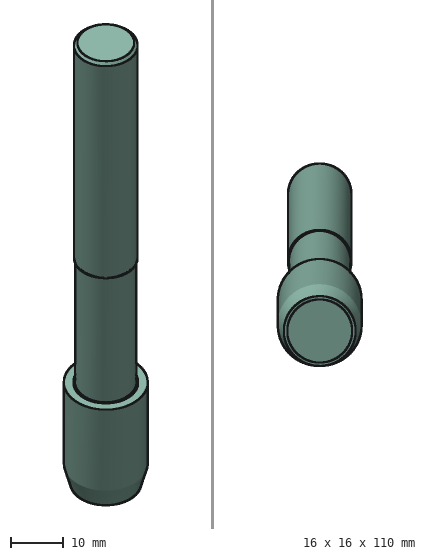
import cadquery as cq

total_length = 110.0

sleeve_diameter = 16.0
sleeve_length = 25.0
sleeve_tip_diameter = 13.6
sleeve_taper_length = 4.6

stud_diameter = 12.1
foot_diameter = 12.3
neck_diameter = 11.7
neck_top_height = 56.2
stud_chamfer = 0.7


def make_sleeve():
    """Tube with a tapered lower end and a plain through bore that fits the stud foot."""
    half_profile = (
        cq.Workplane("XZ")
        .moveTo(foot_diameter / 2, 0)
        .lineTo(sleeve_tip_diameter / 2, 0)
        .lineTo(sleeve_diameter / 2, sleeve_taper_length)
        .lineTo(sleeve_diameter / 2, sleeve_length)
        .lineTo(foot_diameter / 2, sleeve_length)
        .close()
    )
    return half_profile.revolve(360, (0, 0, 0), (0, 1, 0))


def make_rod(diameter, bottom, top):
    """Round rod on the Z axis between two heights."""
    return cq.Workplane("XY", origin=(0, 0, bottom)).circle(diameter / 2).extrude(top - bottom)


def make_stud():
    """Stud whose foot fills the sleeve bore and whose top edge is chamfered."""
    foot = make_rod(foot_diameter, 0, sleeve_length)
    neck = make_rod(neck_diameter, sleeve_length, neck_top_height)
    upper_end = make_rod(stud_diameter, neck_top_height, total_length).faces(">Z").chamfer(stud_chamfer)
    return foot.union(neck).union(upper_end)


sleeve = make_sleeve()
stud = make_stud()

result = cq.Compound.makeCompound([sleeve.val(), stud.val()])